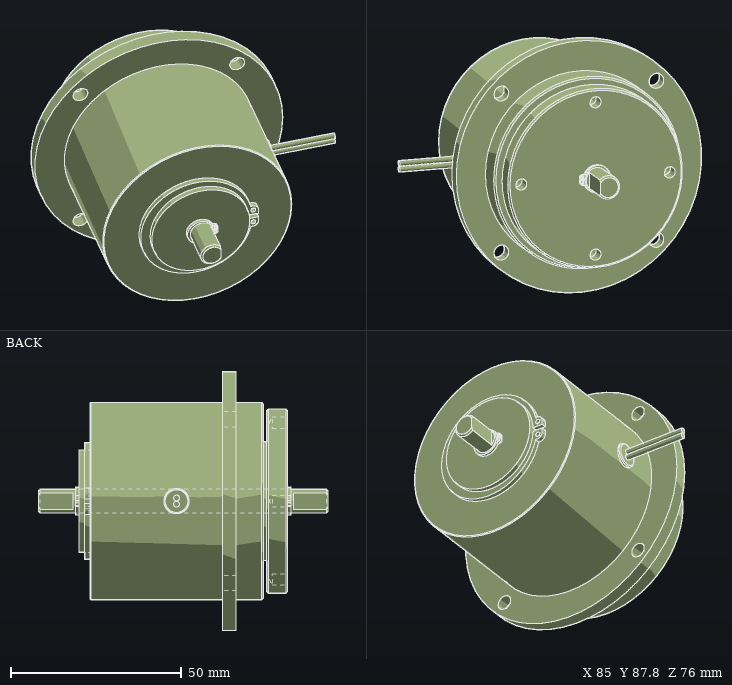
import cadquery as cq
import math


HOUSING_RADIUS = 29.0
HOUSING_LENGTH = 50.8
HOUSING_FRONT_CHAMFER = 0.5
HOUSING_REAR_CHAMFER = 0.3
FLANGE_RADIUS = 38.0
FLANGE_FRONT = 8.0
FLANGE_THICKNESS = 4.0
BOLT_CIRCLE_RADIUS = 34.0
BOLT_HOLE_DIAMETER = 4.5
BOLT_HOLE_COUNT = 4
FIRST_BOLT_ANGLE = 45

DISC_RADIUS = 27.0
DISC_THICKNESS = 6.15
DISC_CHAMFER = 0.5
NECK_RADIUS = 17.5
NECK_LENGTH = 1.0
BOSS_RADIUS = 15.0
BOSS_LENGTH = 3.25

DRILL_CIRCLE_RADIUS = 23.0
DRILL_RADIUS = 1.7
DRILL_DEPTH = 4.4
DRILL_POINT_ANGLE = 118
DRILL_COUNT = 4

GROMMET_X = 25.5
GROMMET_RADIUS = 3.7
GROMMET_TOP = 29.8
GROMMET_CHAMFER = 0.35
GROMMET_ROOT = 26.3
WIRE_RADIUS = 0.85
WIRE_GAP = 0.1
WIRE_END = 49.8

SHAFT_LENGTH = 85.0
SHAFT_RADIUS = 3.5
SHAFT_CHAMFER = 0.5
FLAT_HEIGHT = 2.55
FLAT_LENGTH = 10.1

SHAFT_RING_THICKNESS = 1.0
SHAFT_RING_RADIUS = 4.1
SHAFT_RING_OFFSET = 0.3
SHAFT_EAR_TOP = 5.0
SHAFT_EAR_WIDTH = 3.2
SHAFT_EAR_FILLET = 1.0
SHAFT_RING_SLOT = 0.4
SHAFT_EAR_HOLE_RADIUS = 0.35

BOSS_RING_THICKNESS = 1.6
BOSS_RING_RADIUS = 17.1
BOSS_RING_OFFSET = 0.8
BOSS_EAR_TOP = 18.3
BOSS_EAR_WIDTH = 7.7
BOSS_EAR_FILLET = 1.75
BOSS_RING_SLOT = 1.3
BOSS_EAR_HOLE_RADIUS = 0.7

disc_rear = -NECK_LENGTH
disc_front = disc_rear - DISC_THICKNESS
boss_end = HOUSING_LENGTH + BOSS_LENGTH
shaft_front = (disc_front + boss_end - SHAFT_LENGTH) / 2
shaft_rear = shaft_front + SHAFT_LENGTH


def cylinder(radius, x_start, x_end):
    """Solid cylinder on the X axis."""
    return cq.Workplane("YZ", origin=(x_start, 0, 0)).circle(radius).extrude(x_end - x_start)


def make_drum():
    drum = cylinder(HOUSING_RADIUS, 0, HOUSING_LENGTH)
    drum = drum.faces("<X").chamfer(HOUSING_FRONT_CHAMFER)
    return drum.faces(">X").chamfer(HOUSING_REAR_CHAMFER)


def make_flange():
    flange = cylinder(FLANGE_RADIUS, FLANGE_FRONT, FLANGE_FRONT + FLANGE_THICKNESS)
    return (
        flange.faces("<X")
        .workplane()
        .polarArray(BOLT_CIRCLE_RADIUS, FIRST_BOLT_ANGLE, 360, BOLT_HOLE_COUNT)
        .hole(BOLT_HOLE_DIAMETER)
    )


def make_drill():
    """Blind hole with a conical bottom, entering the disc front on the X axis."""
    point_length = DRILL_RADIUS / math.tan(math.radians(DRILL_POINT_ANGLE / 2))
    return (
        cq.Workplane("XY", origin=(disc_front, 0, 0))
        .lineTo(0, DRILL_RADIUS)
        .lineTo(DRILL_DEPTH, DRILL_RADIUS)
        .lineTo(DRILL_DEPTH + point_length, 0)
        .close()
        .revolve(360, (0, 0, 0), (1, 0, 0))
    )


def make_disc():
    disc = cylinder(DISC_RADIUS, disc_front, disc_rear).edges().chamfer(DISC_CHAMFER)
    drill = make_drill().translate((0, 0, DRILL_CIRCLE_RADIUS))
    for index in range(DRILL_COUNT):
        disc = disc.cut(drill.rotate((0, 0, 0), (1, 0, 0), index * 360 / DRILL_COUNT))
    return disc


def make_cable():
    """Grommet rooted in the drum wall, with two parallel wires leaving it along +Y."""
    cable = (
        cq.Workplane("XZ", origin=(GROMMET_X, GROMMET_TOP, 0))
        .circle(GROMMET_RADIUS)
        .extrude(GROMMET_TOP - GROMMET_ROOT)
        .faces(">Y")
        .chamfer(GROMMET_CHAMFER)
    )
    wire_z = WIRE_RADIUS + WIRE_GAP / 2
    for side in (-1, 1):
        wire = (
            cq.Workplane("XZ", origin=(GROMMET_X, WIRE_END, side * wire_z))
            .circle(WIRE_RADIUS)
            .extrude(WIRE_END - GROMMET_TOP)
        )
        cable = cable.union(wire)
    return cable


def make_housing():
    housing = make_drum().union(make_flange())
    housing = housing.union(make_disc())
    housing = housing.union(cylinder(NECK_RADIUS, disc_rear, 0))
    housing = housing.union(cylinder(BOSS_RADIUS, HOUSING_LENGTH, boss_end))
    housing = housing.union(make_cable())
    return housing.cut(cylinder(SHAFT_RADIUS, disc_front, boss_end))


def make_shaft():
    """Through shaft with a flat on the +Y side of each end."""
    shaft = cylinder(SHAFT_RADIUS, shaft_front, shaft_rear)
    shaft = shaft.faces("<X or >X").chamfer(SHAFT_CHAMFER)
    flat_depth = SHAFT_RADIUS - FLAT_HEIGHT
    flat_cutter = cq.Workplane("XY").box(
        FLAT_LENGTH, flat_depth, 2 * SHAFT_RADIUS, centered=(False, False, True)
    )
    for flat_start in (shaft_front, shaft_rear - FLAT_LENGTH):
        shaft = shaft.cut(flat_cutter.translate((flat_start, FLAT_HEIGHT, 0)))
    return shaft


def make_ring(x_start, thickness, bore, radius, offset, ear_top, ear_width, ear_fillet, slot, hole_radius):
    """Open ring, thickest opposite the slot, with two drilled ears on the +Y side."""
    ring = cq.Workplane("YZ").center(-offset, 0).circle(radius).extrude(thickness)
    ears = (
        cq.Workplane("XY")
        .box(thickness, ear_top, ear_width, centered=(False, False, True))
        .edges("|X and >Y")
        .fillet(ear_fillet)
    )
    slot_cutter = cq.Workplane("XY").box(thickness, ear_top, slot, centered=(False, False, True))
    ear_hole_y = (bore + ear_top) / 2
    ear_hole_z = (slot + ear_width) / 4
    ear_holes = (
        cq.Workplane("YZ")
        .pushPoints([(ear_hole_y, -ear_hole_z), (ear_hole_y, ear_hole_z)])
        .circle(hole_radius)
        .extrude(thickness)
    )
    ring = ring.union(ears).cut(cylinder(bore, 0, thickness))
    ring = ring.cut(slot_cutter).cut(ear_holes)
    return ring.translate((x_start, 0, 0))


def make_shaft_ring(x_start):
    return make_ring(
        x_start,
        SHAFT_RING_THICKNESS,
        SHAFT_RADIUS,
        SHAFT_RING_RADIUS,
        SHAFT_RING_OFFSET,
        SHAFT_EAR_TOP,
        SHAFT_EAR_WIDTH,
        SHAFT_EAR_FILLET,
        SHAFT_RING_SLOT,
        SHAFT_EAR_HOLE_RADIUS,
    )


def make_boss_ring():
    return make_ring(
        HOUSING_LENGTH,
        BOSS_RING_THICKNESS,
        BOSS_RADIUS,
        BOSS_RING_RADIUS,
        BOSS_RING_OFFSET,
        BOSS_EAR_TOP,
        BOSS_EAR_WIDTH,
        BOSS_EAR_FILLET,
        BOSS_RING_SLOT,
        BOSS_EAR_HOLE_RADIUS,
    )


housing = make_housing()
shaft = make_shaft()
boss_ring = make_boss_ring()
shaft_rings = [make_shaft_ring(x_start) for x_start in (disc_front - SHAFT_RING_THICKNESS, boss_end)]

result = cq.Compound.makeCompound(
    [housing.val(), shaft.val(), boss_ring.val(), *[ring.val() for ring in shaft_rings]]
)